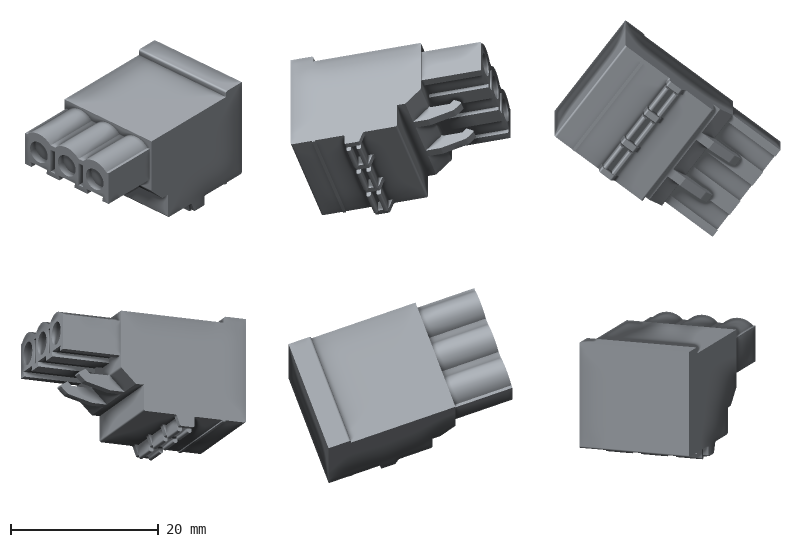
import cadquery as cq
import math

pole_count = 3
pole_pitch = 5.08
total_length = 26.6
total_height = 16.7

housing_width = 15.85
housing_front = 8.33
housing_roof = 15.83
ledge_front = 23.38
ledge_fillet = 0.3
overhang_bottom = 5.72
overhang_back = 11.65
bevel_run = 2.18
bevel_rise = 2.1
bevel_fillet = 0.37
housing_bottom = 2.05
bottom_fillet = 0.27

plug_width = 15.15
plug_bottom = 9.58
plug_shoulder = 14.5
bore_height = 12.48
barrel_radius = 2.93
bore_radius = 1.6
bore_depth = 1.06
slot_width = 0.82
slot_bottom = 10.3
slot_top = 13.8
groove_top = slot_bottom
groove_top_width = 3.03
groove_mouth_width = 2.69

latch_offset = 3.2
latch_width = 1.25
latch_top = 7.8
latch_hook_start = 5.4
latch_peak = (4.8, 8.35)
latch_tip = (3.67, 7.7)
latch_knee = (4.81, 6.6)
latch_bend = 8.4
latch_root_run = 0.3
latch_root_rise = 0.2
latch_knee_fillet = 0.65
latch_peak_fillet = 0.13
latch_tip_fillet = 0.2

inner_rib_width = 0.85
rib_bottom = 0.53
rib_back = 19.05
rib_toe = 17.0
rib_heel = 16.45
rib_front_root_fillet = 0.32
rib_back_root_fillet = 0.19
rib_tip_fillet = 0.2
rib_root_spread = 0.8
rib_root_overlap = 0.27
end_rib_width = 0.8
prong_width = 3.75
prong_thickness = 0.65
back_prong_front = 18.38
back_prong_fillet = 0.3
front_prong_front = 16.97
front_prong_bottom = 0.05
front_prong_fillet = 0.25
ridge_front = 23.17
ridge_width = 0.4
ridge_height = 0.19

housing_back = total_length
bevel_top = overhang_bottom + bevel_rise
bevel_back = housing_front + bevel_run
pole_places = [(i - (pole_count - 1) / 2) * pole_pitch for i in range(pole_count)]
gap_places = [x + pole_pitch / 2 for x in pole_places[:-1]]


def box(x_range, y_range, z_range):
    """Box between two limits along each axis."""
    sizes = [high - low for low, high in (x_range, y_range, z_range)]
    corner = (x_range[0], y_range[0], z_range[0])
    return cq.Workplane("XY").box(*sizes, centered=False).translate(corner)


def centred_range(centre, size):
    return (centre - size / 2, centre + size / 2)


def side_extrusion(points, centre, width):
    """Extrude a closed (Y, Z) outline along X, centred at the given X."""
    outline = cq.Workplane("YZ", origin=(centre, 0, 0)).polyline(points).close()
    return outline.extrude(width / 2, both=True)


def x_edges_at(y, z):
    """Selector for the edges along X that pass through the given (Y, Z)."""
    reach = 0.013
    far = housing_width
    return cq.selectors.BoxSelector((-far, y - reach, z - reach), (far, y + reach, z + reach))


def make_housing():
    """Main block with a raised ledge at the back and a bevelled overhang at the front."""
    points = [
        (housing_back, housing_bottom),
        (housing_back, total_height),
        (ledge_front, total_height),
        (ledge_front, housing_roof),
        (housing_front, housing_roof),
        (housing_front, bevel_top),
        (bevel_back, overhang_bottom),
        (overhang_back, overhang_bottom),
        (overhang_back, housing_bottom),
    ]
    housing = side_extrusion(points, 0, housing_width)
    housing = housing.edges(x_edges_at(ledge_front, total_height)).fillet(ledge_fillet)
    housing = housing.edges(x_edges_at(housing_front, bevel_top)).fillet(bevel_fillet)
    for y in (overhang_back, housing_back):
        housing = housing.edges(x_edges_at(y, housing_bottom)).fillet(bottom_fillet)
    return housing


def make_groove(x):
    """Dovetail groove along the underside of the plug."""
    groove = cq.Workplane("XZ").polyline([
        (x - groove_mouth_width / 2, plug_bottom),
        (x + groove_mouth_width / 2, plug_bottom),
        (x + groove_top_width / 2, groove_top),
        (x - groove_top_width / 2, groove_top),
    ])
    return groove.close().extrude(-housing_front)


def make_plug():
    """Plug body with a barrel and bore per pole; XZ sketches extrude toward +Y when negative."""
    half_width = plug_width / 2
    barrel_half_chord = math.sqrt(barrel_radius**2 - (plug_shoulder - bore_height) ** 2)
    outline = cq.Workplane("XZ").moveTo(-half_width, plug_bottom).lineTo(-half_width, plug_shoulder)
    for x in pole_places:
        outline = outline.lineTo(x - barrel_half_chord, plug_shoulder)
        crest = (x, bore_height + barrel_radius)
        outline = outline.threePointArc(crest, (x + barrel_half_chord, plug_shoulder))
    outline = outline.lineTo(half_width, plug_shoulder).lineTo(half_width, plug_bottom)
    plug = outline.close().extrude(-housing_front)
    bore_centres = [(x, bore_height) for x in pole_places]
    bores = cq.Workplane("XZ").pushPoints(bore_centres).circle(bore_radius).extrude(-bore_depth)
    plug = plug.cut(bores)
    for x in gap_places:
        plug = plug.cut(box(centred_range(x, slot_width), (0, housing_front), (slot_bottom, slot_top)))
    for x in pole_places:
        plug = plug.cut(make_groove(x))
    return plug


def make_latch(x):
    """Hooked latch that grows from the bevel and points toward the plug tip."""
    points = [
        (bevel_back, overhang_bottom),
        (latch_bend, overhang_bottom),
        latch_knee,
        latch_tip,
        latch_peak,
        (latch_hook_start, latch_top),
        (housing_front - latch_root_run, latch_top),
        (housing_front, latch_top + latch_root_rise),
        (bevel_back, latch_top + latch_root_rise),
    ]
    latch = side_extrusion(points, x, latch_width)
    for corner, radius in (
        (latch_knee, latch_knee_fillet),
        (latch_tip, latch_tip_fillet),
        (latch_peak, latch_peak_fillet),
    ):
        latch = latch.edges(x_edges_at(*corner)).fillet(radius)
    return latch


def make_rib(centre, width):
    """Tapered rib with a sloping front; the strip above it carries the root fillets."""
    root_top = housing_bottom + rib_root_overlap
    points = [
        (rib_back, rib_bottom),
        (rib_toe, rib_bottom),
        (rib_heel, housing_bottom),
        (rib_heel - rib_root_spread, housing_bottom),
        (rib_heel - rib_root_spread, root_top),
        (rib_back + rib_root_spread, root_top),
        (rib_back + rib_root_spread, housing_bottom),
        (rib_back, housing_bottom),
    ]
    rib = side_extrusion(points, centre, width)
    rib = rib.edges(x_edges_at(rib_heel, housing_bottom)).fillet(rib_front_root_fillet)
    rib = rib.edges(x_edges_at(rib_back, housing_bottom)).fillet(rib_back_root_fillet)
    for y in (rib_back, rib_toe):
        rib = rib.edges(x_edges_at(y, rib_bottom)).fillet(rib_tip_fillet)
    return rib


def make_prongs(x):
    """Two upright contact plates, one behind the other."""
    x_range = centred_range(x, prong_width)
    back_range = (back_prong_front, back_prong_front + prong_thickness)
    back = box(x_range, back_range, (0, housing_bottom))
    back = back.edges("|X and <Z").fillet(back_prong_fillet)
    front_range = (front_prong_front, front_prong_front + prong_thickness)
    front = box(x_range, front_range, (front_prong_bottom, housing_bottom))
    front = front.edges("|X and <Z").fillet(front_prong_fillet)
    return back.union(front)


def make_ridge():
    """Thin ridge across the full width of the housing underside."""
    y_range = (ridge_front, ridge_front + ridge_width)
    z_range = (housing_bottom - ridge_height, housing_bottom)
    return box(centred_range(0, housing_width), y_range, z_range)


result = make_housing().union(make_plug()).union(make_ridge())
for side in (-1, 1):
    result = result.union(make_latch(side * latch_offset))
    result = result.union(make_rib(side * (housing_width - end_rib_width) / 2, end_rib_width))
for x in gap_places:
    result = result.union(make_rib(x, inner_rib_width))
for x in pole_places:
    result = result.union(make_prongs(x))